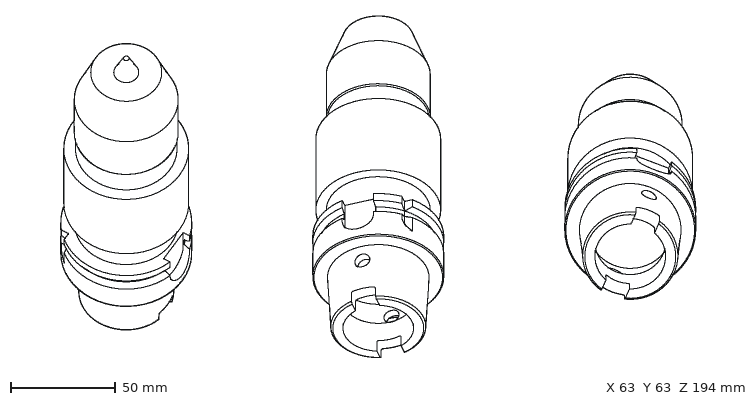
import cadquery as cq

TOTAL_HEIGHT = 194.0
FLANGE_BOTTOM = 32.0
FLANGE_TOP = 58.2
SLEEVE_BOTTOM = 74.3
SLEEVE_TOP = 119.3
HEAD_BOTTOM = 132.9
HEAD_SHOULDER = 160.0
HEAD_TOP = 182.4

FLANGE_DIAMETER = 63.0
NECK_DIAMETER = 50.0
SLEEVE_DIAMETER = 60.1
COLLAR_DIAMETER = 48.9
HEAD_DIAMETER = NECK_DIAMETER
HEAD_TOP_DIAMETER = 34.1
POINT_BASE_DIAMETER = 12.0
POINT_TIP_DIAMETER = 2.7
HEAD_CHAMFER_HEIGHT = 0.8

SHANK_TOP_DIAMETER = 48.9
SHANK_TAPER = 0.1
SHANK_CHAMFER = 1.0
BORE_DIAMETER = 34.0
BORE_DEPTH = FLANGE_BOTTOM
RECESS_DIAMETER = 40.0
RECESS_BOTTOM = 17.5

GROOVE_DIAMETER = 57.2
GROOVE_LOWER_LIP = 47.0
GROOVE_FLOOR_BOTTOM = 48.9
GROOVE_FLOOR_TOP = 52.2
GROOVE_UPPER_LIP = 53.7
FLANGE_CHAMFER = 0.5

SLOT_BOTTOM = 37.5
SLOT_WIDTH = 16.0
WIDE_SLOT_WIDTH = 18.0
SLOT_FLOOR_OFFSET = 26.5
NOTCH_OFFSET = 20.2

KEYWAY_WIDTH = 12.2
KEYWAY_DEPTH = 6.5
KEYWAY_CORNER_RADIUS = 1.0
CROSS_HOLE_DIAMETER = 7.5
CROSS_HOLE_HEIGHT = 23.5


def turned_body():
    """Revolve the full outer profile about the Z axis."""
    shank_bottom_diameter = SHANK_TOP_DIAMETER - SHANK_TAPER * FLANGE_BOTTOM
    shank_chamfer_diameter = shank_bottom_diameter + SHANK_TAPER * SHANK_CHAMFER
    profile = [
        (0, 0),
        (shank_bottom_diameter - 2 * SHANK_CHAMFER, 0),
        (shank_chamfer_diameter, SHANK_CHAMFER),
        (SHANK_TOP_DIAMETER, FLANGE_BOTTOM),
        (FLANGE_DIAMETER - 2 * FLANGE_CHAMFER, FLANGE_BOTTOM),
        (FLANGE_DIAMETER, FLANGE_BOTTOM + FLANGE_CHAMFER),
        (FLANGE_DIAMETER, GROOVE_LOWER_LIP),
        (GROOVE_DIAMETER, GROOVE_FLOOR_BOTTOM),
        (GROOVE_DIAMETER, GROOVE_FLOOR_TOP),
        (FLANGE_DIAMETER, GROOVE_UPPER_LIP),
        (FLANGE_DIAMETER, FLANGE_TOP),
        (NECK_DIAMETER, FLANGE_TOP),
        (NECK_DIAMETER, SLEEVE_BOTTOM),
        (SLEEVE_DIAMETER, SLEEVE_BOTTOM),
        (SLEEVE_DIAMETER, SLEEVE_TOP),
        (COLLAR_DIAMETER, SLEEVE_TOP),
        (COLLAR_DIAMETER, HEAD_BOTTOM - HEAD_CHAMFER_HEIGHT),
        (HEAD_DIAMETER, HEAD_BOTTOM),
        (HEAD_DIAMETER, HEAD_SHOULDER),
        (HEAD_TOP_DIAMETER, HEAD_TOP),
        (POINT_BASE_DIAMETER, HEAD_TOP),
        (POINT_TIP_DIAMETER, TOTAL_HEIGHT),
        (0, TOTAL_HEIGHT),
    ]
    points = [(diameter / 2, height) for diameter, height in profile]
    return cq.Workplane("XZ").polyline(points).close().revolve(360, (0, 0), (0, 1))


def flange_slot(side, width, floor_offset, center_y):
    """Cutter for a round-bottomed slot that opens at the flange top and at side * X."""
    radius = width / 2
    arc_height = SLOT_BOTTOM + radius
    return (
        cq.Workplane("YZ", origin=(side * floor_offset, center_y, 0))
        .moveTo(-radius, FLANGE_TOP)
        .lineTo(-radius, arc_height)
        .threePointArc((0, SLOT_BOTTOM), (radius, arc_height))
        .lineTo(radius, FLANGE_TOP)
        .close()
        .extrude(side * FLANGE_DIAMETER)
    )


def shank_bore():
    """Cutter for the blind bore and the wider clamping recess in its upper part."""
    bore = cq.Workplane("XY").circle(BORE_DIAMETER / 2).extrude(BORE_DEPTH)
    recess = (
        cq.Workplane("XY", origin=(0, 0, RECESS_BOTTOM))
        .circle(RECESS_DIAMETER / 2)
        .extrude(BORE_DEPTH - RECESS_BOTTOM)
    )
    return bore.union(recess)


def drive_keyway():
    """Cutter for the rounded keyway that crosses the shank end along X."""
    return (
        cq.Workplane("XY")
        .box(FLANGE_DIAMETER, KEYWAY_WIDTH, 2 * KEYWAY_DEPTH)
        .edges("|X and >Z")
        .fillet(KEYWAY_CORNER_RADIUS)
    )


def cross_hole():
    """Cutter for the round hole that crosses the shank along X."""
    return (
        cq.Workplane("YZ")
        .center(0, CROSS_HOLE_HEIGHT)
        .circle(CROSS_HOLE_DIAMETER / 2)
        .extrude(FLANGE_DIAMETER / 2, both=True)
    )


notch_center_y = -NOTCH_OFFSET - SLOT_WIDTH / 2

result = (
    turned_body()
    .cut(flange_slot(-1, SLOT_WIDTH, SLOT_FLOOR_OFFSET, 0))
    .cut(flange_slot(1, WIDE_SLOT_WIDTH, SLOT_FLOOR_OFFSET, 0))
    .cut(flange_slot(-1, SLOT_WIDTH, NOTCH_OFFSET, notch_center_y))
    .cut(shank_bore())
    .cut(drive_keyway())
    .cut(cross_hole())
)